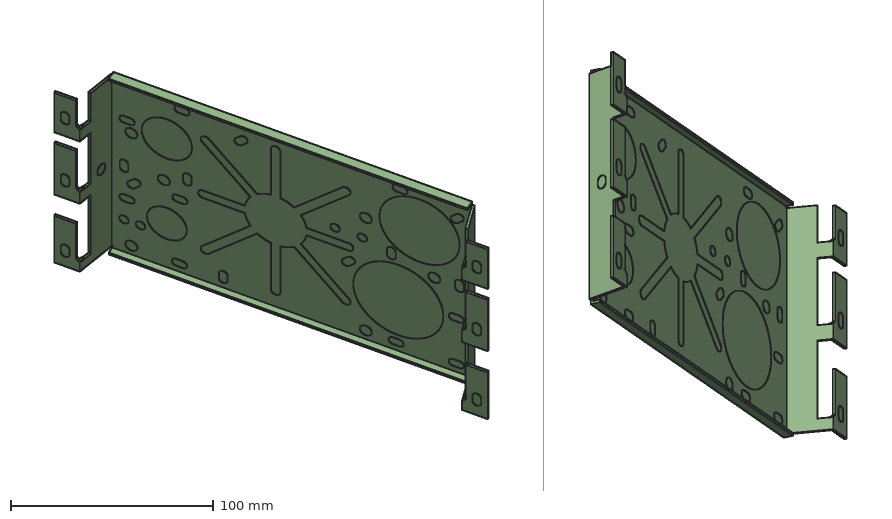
import cadquery as cq
import math


total_length = 240.0
total_depth = 24.2
total_height = 124.8
sheet = 1.5
mark_depth = 0.2

lip_length = 198.7
lip_depth = 5.3

flange_height = 120.5
flange_angle = 15.0
flange_depth = 16.0
plate_half_length = 100.8

tabs = [
    (-flange_height / 2, -53.8, -27.0),
    (-12.0, -3.8, 24.5),
    (32.2, 40.3, flange_height / 2),
]
tab_width = 12.0
notch_chamfer = 2.2
tab_slot_x = 114.0
tab_slot_heights = [-49.2, 0.7, 45.0]

flange_slot_y = 3.8
flange_slot_length = 7.0
flange_slot_width = 5.5

slot_length = 8.5
slot_width = 4.8
plate_slots = [
    (-60.7, 54.0, 0),
    (60.0, 54.0, 0),
    (-91.2, 33.0, 0),
    (-62.0, -9.5, 0),
    (-91.2, -22.8, 0),
    (91.2, -22.8, 0),
    (-62.2, -55.2, 0),
    (57.8, -55.2, 0),
    (91.2, -55.2, 0),
    (-93.0, 0.0, 90),
    (-57.8, 6.5, 90),
    (-38.0, -53.5, 90),
    (55.2, 6.5, 90),
    (93.0, 0.7, 90),
    (-28.0, 47.8, 45),
    (-87.4, -10.3, 45),
    (31.5, -10.3, 45),
    (91.7, 48.0, 45),
]

plate_circles = [
    (6.7, [(-88.8, 25.0), (-70.8, 0), (-88.8, -55.0), (41.0, 25.0), (79.0, 0), (41.0, -55.0)]),
    (5.3, [(-93.0, -38.2), (-83.8, -38.2), (24.0, 10.0), (39.0, 10.0)]),
    (22.0, [(-69.0, -30.0)]),
    (27.8, [(-69.0, 30.0)]),
    (44.5, [(70.8, 29.8)]),
    (50.0, [(59.0, -25.0)]),
]

star_x = -9.0
hub_diameter = 34.5
arm_width = 5.3
arm_reaches = {0: 43.0, 45: 57.5, 90: 52.5, 135: 57.5}

back_y = total_depth / 2
front_y = -back_y
plate_front_y = back_y - sheet
tab_back_y = front_y + sheet
tab_end_x = total_length / 2
slope = math.tan(math.radians(flange_angle))
flange_skin = sheet / math.cos(math.radians(flange_angle))


def outer_x(y):
    """X of the right flange's outer face at a given Y."""
    return plate_half_length + (back_y - y) * slope


def inner_x(y):
    """X of the right flange's inner face at a given Y."""
    return outer_x(y) - flange_skin


def extrude_z(points, z_bottom, z_top):
    """Prism with an XY outline between two heights."""
    return cq.Workplane("XY").workplane(offset=z_bottom).polyline(points).close().extrude(z_top - z_bottom)


def face_plane(y):
    """XZ sketch plane at a given Y; extruding goes toward +Y when negative."""
    return cq.Workplane("XZ", origin=(0, y, 0))


def make_plate():
    """Flat plate with its top and bottom lips."""
    plate = cq.Workplane("XY").box(lip_length, sheet, total_height).translate((0, back_y - sheet / 2, 0))
    for side in (-1, 1):
        lip = cq.Workplane("XY").box(lip_length, lip_depth, sheet)
        lip_z = side * (total_height - sheet) / 2
        plate = plate.union(lip.translate((0, back_y - lip_depth / 2, lip_z)))
    return plate


def make_flange():
    """Right flange, bent from the edge of the plate and cut square to its own faces."""
    outer_end_y = back_y - flange_depth
    inner_end_y = outer_end_y - sheet * math.sin(math.radians(flange_angle))
    outline = [
        (0, back_y),
        (plate_half_length, back_y),
        (outer_x(outer_end_y), outer_end_y),
        (inner_x(inner_end_y), inner_end_y),
        (inner_x(plate_front_y), plate_front_y),
        (0, plate_front_y),
    ]
    return extrude_z(outline, -flange_height / 2, flange_height / 2)


def make_tab(z_bottom, z_neck, z_top):
    """Tab on the right, joined to the flange by a short neck at its lower end."""
    outline = [
        (plate_half_length, back_y),
        (outer_x(tab_back_y), tab_back_y),
        (tab_end_x, tab_back_y),
        (tab_end_x, front_y),
        (inner_x(front_y), front_y),
        (inner_x(back_y), back_y),
    ]
    tab_inner_x = tab_end_x - tab_width
    notch_outline = [
        (0, z_neck),
        (tab_inner_x - notch_chamfer, z_neck),
        (tab_inner_x, z_neck + notch_chamfer),
        (tab_inner_x, z_top),
        (0, z_top),
    ]
    notch = face_plane(back_y).polyline(notch_outline).close().extrude(total_depth)
    return extrude_z(outline, z_bottom, z_top).cut(notch)


def slot_mark(x, z, length, width, angle, y):
    """Cutter for a slot outline in a face at a given Y."""
    return face_plane(y).center(x, z).slot2D(length, width, angle).extrude(-mark_depth)


def plate_marks():
    """Cutters for the slots and circles in the plate's front face."""
    cutters = []
    for x, z, angle in plate_slots:
        cutters.append(slot_mark(x, z, slot_length, slot_width, angle, plate_front_y))
    for diameter, centres in plate_circles:
        circles = face_plane(plate_front_y).pushPoints(centres).circle(diameter / 2)
        cutters.append(circles.extrude(-mark_depth))
    return cutters


def star_mark():
    """Cutter for the hub and its arms."""
    star = face_plane(plate_front_y).center(star_x, 0).circle(hub_diameter / 2).extrude(-mark_depth)
    for angle, reach in arm_reaches.items():
        star = star.union(slot_mark(star_x, 0, 2 * reach, arm_width, angle, plate_front_y))
    return star


def flange_slot_marks():
    """Cutters for the slot outline on both faces of the left flange."""
    tilt = math.radians(flange_angle)
    outward = cq.Vector(-math.cos(tilt), math.sin(tilt), 0)
    outer_point = cq.Vector(-outer_x(flange_slot_y), flange_slot_y, 0)
    inner_point = outer_point - outward * sheet
    cutters = []
    for point, normal in ((outer_point, outward), (inner_point, -outward)):
        plane = cq.Plane(origin=point.toTuple(), xDir=(0, 0, 1), normal=normal.toTuple())
        outline = cq.Workplane(plane).slot2D(flange_slot_length, flange_slot_width)
        cutters.append(outline.extrude(-mark_depth))
    return cutters


side = make_flange()
for tab_heights in tabs:
    side = side.union(make_tab(*tab_heights))
for slot_z in tab_slot_heights:
    side = side.cut(slot_mark(tab_slot_x, slot_z, slot_length, slot_width, 90, front_y))

result = make_plate().union(side).union(side.mirror("YZ"))

for cutter in plate_marks() + [star_mark()] + flange_slot_marks():
    result = result.cut(cutter)